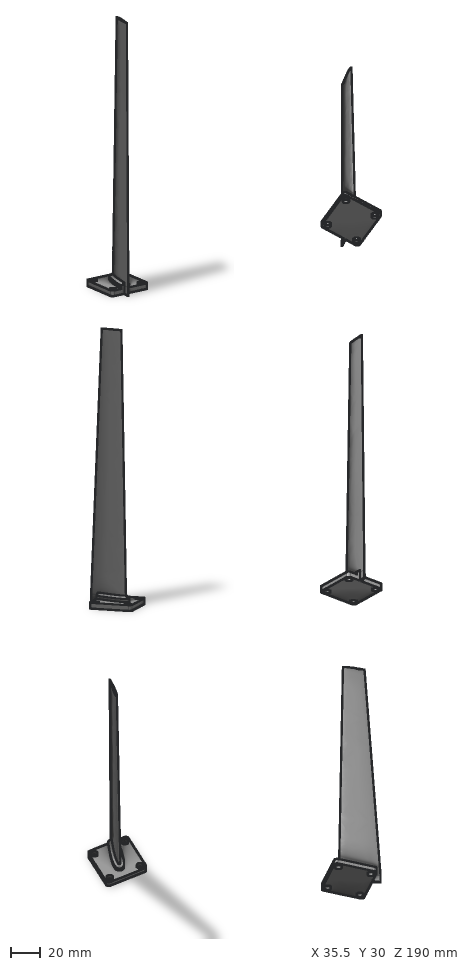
import cadquery as cq
import math

plate_side = 30.0
plate_height = 4.0
corner_radius = 1.9
hole_diameter = 4.5
hole_spacing = 23.0

collar_top = 6.0
fairing_top = 8.0
collar_margin = 2.5
fairing_bite = 0.1

blade_top = 190.0
root_leading = (-6.8, 1.7)
root_trailing = (20.5, -5.5)
tip_leading = (-3.8, 2.3)
tip_trailing = (11.0, 0.2)
root_thickness = 0.11
tip_thickness = 0.09
trailing_thickness = 0.01
stations = (0.0125, 0.05, 0.12, 0.25, 0.4, 0.6, 0.8, 1.0)
slope_step = 0.001


def half_thickness(station, thickness):
    """Symmetric four-digit airfoil, plus a wedge that leaves a blunt trailing edge."""
    rounded = 0.2969 * math.sqrt(station) - 0.1260 * station - 0.3516 * station**2
    tail = 0.2843 * station**3 - 0.1036 * station**4
    return 5 * thickness * (rounded + tail) + trailing_thickness / 2 * station


def airfoil(leading, trailing, thickness, height, margin=0.0):
    """Closed airfoil outline at the given height, grown outward by the margin."""
    chord_x = trailing[0] - leading[0]
    chord_y = trailing[1] - leading[1]
    chord = math.hypot(chord_x, chord_y)

    def placed(along, across):
        x = leading[0] + (along * chord_x - across * chord_y) / chord
        y = leading[1] + (along * chord_y + across * chord_x) / chord
        return cq.Vector(x, y)

    def surface(station, side):
        before = half_thickness(station - slope_step, thickness)
        after = half_thickness(station + slope_step, thickness)
        normal = math.atan2(2 * slope_step, before - after)
        along = station * chord + margin * math.cos(normal)
        across = half_thickness(station, thickness) * chord + margin * math.sin(normal)
        return placed(along, side * across)

    upper = [surface(s, 1) for s in reversed(stations)]
    lower = [surface(s, -1) for s in stations]
    skin = cq.Edge.makeSpline(upper + [placed(-margin, 0)] + lower)
    trailing_edge = cq.Edge.makeLine(lower[-1], upper[0])
    return cq.Wire.assembleEdges([skin, trailing_edge]).moved(cq.Location((0, 0, height)))


def root_outline(height, margin=0.0):
    return airfoil(root_leading, root_trailing, root_thickness, height, margin)


def loft_between(lower_outline, upper_outline):
    return cq.Workplane(cq.Solid.makeLoft([lower_outline, upper_outline], True))


def make_plate():
    plate = cq.Workplane("XY").rect(plate_side, plate_side).extrude(plate_height)
    plate = plate.edges("|Z").fillet(corner_radius)
    holes = cq.Workplane("XY").rect(hole_spacing, hole_spacing, forConstruction=True)
    return plate.cut(holes.vertices().circle(hole_diameter / 2).extrude(plate_height))


def make_collar():
    """Straight collar and sloped fairing, cut flush with the plate sides."""
    collar = loft_between(root_outline(0, collar_margin), root_outline(collar_top, collar_margin))
    fairing = loft_between(
        root_outline(collar_top, collar_margin),
        root_outline(fairing_top, -fairing_bite),
    )
    bounds = cq.Workplane("XY").rect(plate_side, plate_side).extrude(fairing_top)
    return collar.union(fairing).intersect(bounds)


def make_blade():
    """Straight root through the plate, then a tapered and twisted blade."""
    root = loft_between(root_outline(0), root_outline(collar_top))
    tip = airfoil(tip_leading, tip_trailing, tip_thickness, blade_top)
    blade = loft_between(root_outline(collar_top), tip)
    return root.union(blade)


result = make_plate().union(make_collar()).union(make_blade())